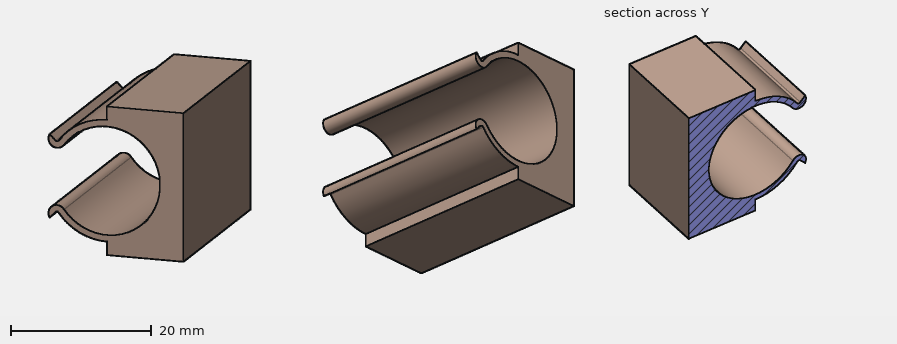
import cadquery as cq
import math

length = 30.0
height = 21.9
width = 20.25
bore_radius = 7.98
arm_thickness = 1.0
arm_radius = bore_radius + arm_thickness
back_x = 11.5
block_face_x = 0.0
front_x = back_x - width

notch_radius = 0.3
lip_radius = notch_radius + arm_thickness
lip_x = front_x + lip_radius
lip_orbit_radius = arm_radius + notch_radius
lip_angle = math.degrees(math.acos(lip_x / lip_orbit_radius))
lip_tip_angle = 149.0
notch_end_angle = 222.0


def polar(radius, angle, center=(0.0, 0.0)):
    """Point at an angle in degrees, counterclockwise from +X in the XZ plane."""
    turn = math.radians(angle)
    return (center[0] + radius * math.cos(turn), center[1] + radius * math.sin(turn))


def make_arm():
    """Upper spring arm, from the block face to the tip of its lip."""
    lip_center = polar(lip_orbit_radius, lip_angle)
    arm_middle_angle = (90.0 + lip_angle) / 2
    lip_root_angle = lip_angle + 180.0
    notch_middle_angle = (lip_root_angle + notch_end_angle) / 2
    lip_middle_angle = (lip_root_angle + lip_tip_angle) / 2
    return (
        cq.Workplane("XZ")
        .moveTo(block_face_x, bore_radius)
        .lineTo(block_face_x, arm_radius)
        .threePointArc(polar(arm_radius, arm_middle_angle), polar(arm_radius, lip_angle))
        .threePointArc(
            polar(notch_radius, notch_middle_angle, lip_center),
            polar(notch_radius, notch_end_angle, lip_center),
        )
        .lineTo(*polar(lip_radius, lip_tip_angle, lip_center))
        .threePointArc(
            polar(lip_radius, lip_middle_angle, lip_center),
            polar(lip_radius, lip_root_angle, lip_center),
        )
        .threePointArc(polar(bore_radius, arm_middle_angle), (block_face_x, bore_radius))
        .close()
        .extrude(length / 2, both=True)
    )


def make_block():
    """Rectangular back with half of the bore cut into its front face."""
    block_depth = back_x - block_face_x
    block = cq.Workplane("XY").box(block_depth, length, height)
    block = block.translate((block_face_x + block_depth / 2, 0, 0))
    bore = cq.Workplane("XZ").circle(bore_radius).extrude(length / 2, both=True)
    return block.cut(bore)


upper_arm = make_arm()
lower_arm = upper_arm.mirror("XY")
result = make_block().union(upper_arm).union(lower_arm)